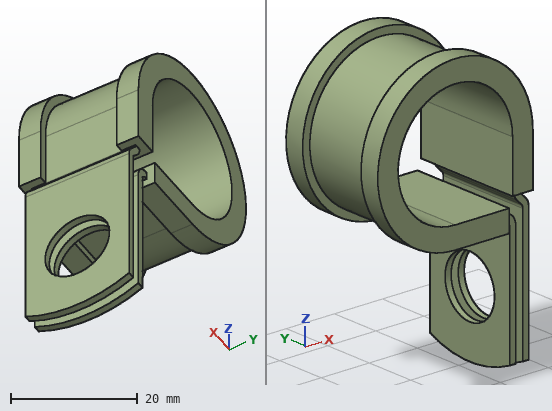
import cadquery as cq
import math

loop_radius = 16.15
cushion_wall = 4.25
cushion_width = 22.1
flange_width = 4.0
lower_arm_end = 11.2
side_arm_end = -10.05

strap_thickness = 1.25
strap_width = 19.2
bend_radius = 1.65
overall_height = 57.45
leg_end = loop_radius - overall_height
inner_leg_x = 13.15
outer_leg_x = 15.9

hole_diameter = 11.9
hole_z = -28.6
tip_rise = 2.1

bore_radius = loop_radius - cushion_wall
strap_radius = loop_radius - cushion_wall / 2
groove_floor_radius = strap_radius + strap_thickness / 2


def loop_band(outer, inner, width):
    """Three-quarter ring with straight arms, centred on Y = 0."""
    diagonal = math.sqrt(0.5)
    profile = (
        cq.Workplane("XZ")
        .moveTo(outer, side_arm_end)
        .lineTo(outer, 0)
        .threePointArc((-outer * diagonal, outer * diagonal), (0, -outer))
        .lineTo(lower_arm_end, -outer)
        .lineTo(lower_arm_end, -inner)
        .lineTo(0, -inner)
        .threePointArc((-inner * diagonal, inner * diagonal), (inner, 0))
        .lineTo(inner, side_arm_end)
        .close()
    )
    return profile.extrude(width / 2, both=True)


def make_cushion():
    core = loop_band(groove_floor_radius, bore_radius, cushion_width)
    rim = loop_band(loop_radius, bore_radius, flange_width)
    offset = (cushion_width - flange_width) / 2
    for side in (-1, 1):
        core = core.union(rim.translate((0, side * offset, 0)))
    return core


def make_strap():
    """Sweep the strap section from the outer leg, round the loop, to the inner leg."""
    diagonal = math.sqrt(0.5)
    bend_shift = bend_radius * (1 - diagonal)
    bend_height = bend_radius * diagonal
    slope_run = outer_leg_x - strap_radius - 2 * bend_shift
    jog_bottom = side_arm_end - 2 * bend_height - slope_run
    mid_angle = math.radians(22.5)
    mid_shift = bend_radius * (1 - math.cos(mid_angle))
    mid_height = bend_radius * math.sin(mid_angle)
    inner_bend_x = inner_leg_x - bend_radius

    path = (
        cq.Workplane("XZ")
        .moveTo(outer_leg_x, leg_end)
        .lineTo(outer_leg_x, jog_bottom)
        .threePointArc(
            (outer_leg_x - mid_shift, jog_bottom + mid_height),
            (outer_leg_x - bend_shift, jog_bottom + bend_height),
        )
        .lineTo(strap_radius + bend_shift, side_arm_end - bend_height)
        .threePointArc(
            (strap_radius + mid_shift, side_arm_end - mid_height),
            (strap_radius, side_arm_end),
        )
        .lineTo(strap_radius, 0)
        .threePointArc((-strap_radius * diagonal, strap_radius * diagonal), (0, -strap_radius))
        .lineTo(inner_bend_x, -strap_radius)
        .threePointArc(
            (inner_bend_x + bend_height, -strap_radius - bend_shift),
            (inner_leg_x, -strap_radius - bend_radius),
        )
        .lineTo(inner_leg_x, leg_end)
    )
    section = cq.Workplane("XY", origin=(outer_leg_x, 0, leg_end)).rect(strap_thickness, strap_width)
    return section.sweep(path)


def tip_trimmer():
    """Block that trims the strap legs to a rounded tip."""
    half_width = strap_width / 2
    tip_start = leg_end + tip_rise
    return (
        cq.Workplane("YZ")
        .moveTo(-half_width, loop_radius)
        .lineTo(-half_width, tip_start)
        .threePointArc((0, leg_end), (half_width, tip_start))
        .lineTo(half_width, loop_radius)
        .close()
        .extrude(2 * loop_radius, both=True)
    )


bolt_hole = (
    cq.Workplane("YZ")
    .center(0, hole_z)
    .circle(hole_diameter / 2)
    .extrude(2 * loop_radius, both=True)
)

strap = make_strap().intersect(tip_trimmer()).cut(bolt_hole)
result = make_cushion().union(strap)